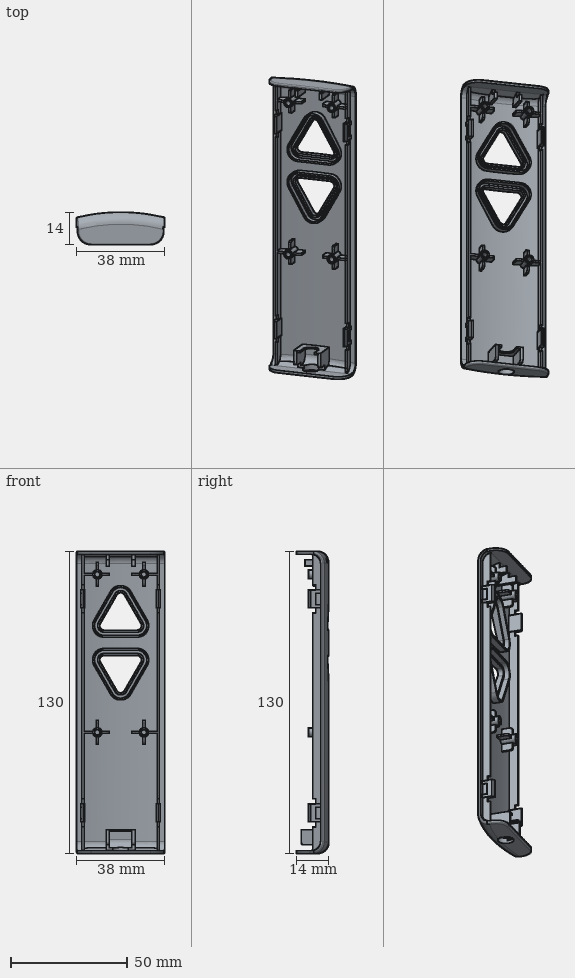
import cadquery as cq
import math

WIDTH = 38.0
DEPTH = 14.0
LENGTH = 130.0
CROWN_RADIUS = 80.3
END_RADIUS = 5.1
SIDE_ROUND = 0.8
FLOOR = 1.5
LIP_THICKNESS = 1.36
INNER_END_RADIUS = 3.9
SIDE_RIM_DEPTH = 3.6

LIP_WIDTH = 37.2
LIP_CORNER = 5.8
LIP_EDGE_ROUND = 0.5
FULL_WIDTH_DEPTH = 6.5

WALL_OUTER_X = 16.6
WALL_THICKNESS = 0.9
WALL_DEPTH = 7.0
LEDGE_HEIGHT = 1.2
LEDGE_CREST_DEPTH = 3.9
LEDGE_TOE_DEPTH = 7.5

CLIP_CENTRES_Z = (44.5, -47.4)
CLIP_INNER_X = 15.3
CLIP_OUTER_X = 17.0
CLIP_LENGTH = 7.8
CLIP_DEPTH = 8.8
CLIP_BEVEL = 0.9
NOTCH_LENGTH = 12.0
NOTCH_DEPTH = 5.7
WINDOW_LENGTH = 5.0

BOSS_X = 10.0
BOSS_LEVELS_Z = (55.0, -12.9)
BOSS_RADIUS = 2.0
BOSS_HOLE_RADIUS = 1.2
BOSS_DEPTH = 8.8
BOSS_HOLE_FLOOR_DEPTH = 2.6
RIB_REACH = 5.2
RIB_THICKNESS = 0.9
RIB_DEPTH = 7.0
RIB_TIP_ROUND = 1.2

TRIANGLE_MIRROR_Z = 25.6
TRIANGLE_BASE_Z = 32.94
TRIANGLE_HALF_BASE = 7.08
WINDOW_CORNER = 1.88
COLLAR_CORNER = 2.8
RIM_INNER_CORNER = 4.2
RIM_OUTER_CORNER = 5.0
GROOVE_DEPTH = 1.8
COLLAR_DEPTH = 3.1
RIM_DEPTH = 5.0

BOX_WIDTH = 12.3
BOX_WALL = 1.3
BOX_TOP_Z = -54.6
BOX_BOTTOM_Z = -61.2
BOX_PLATE = 0.8
BOX_DEPTH = 12.0
BOX_FLOOR_DEPTH = 1.8
BOX_FLOOR_ROUND = 3.6
BOX_CORNER = 1.0
CABLE_RADIUS = 3.4
CABLE_DEPTH = 7.7
TAB_TOP_Z = 61.3
TAB_BOTTOM_Z = 58.5
TAB_DEPTH = 10.4

SIDES = (-1, 1)


def block(x_range, depth_range, z_range):
    """Box between pairs of x, depth and z."""
    (x0, x1), (d0, d1), (z0, z1) = x_range, depth_range, z_range
    return cq.Workplane("XY").box(x1 - x0, d1 - d0, z1 - z0, centered=False).translate((x0, -d1, z0))


def depth_cylinder(x, z, radius, depth_range):
    """Cylinder along Y between two depths."""
    start, end = depth_range
    return cq.Workplane("XZ", origin=(x, -start, z)).circle(radius).extrude(end - start)


def crowned_block(width, length, back_depth, crown_radius, end_radius):
    """Block with an arched back whose two ends are rounded into the back."""
    half = width / 2
    sag = crown_radius - math.sqrt(crown_radius**2 - half**2)
    return (
        cq.Workplane("XY", origin=(0, 0, -length / 2))
        .moveTo(-half, -DEPTH)
        .lineTo(half, -DEPTH)
        .lineTo(half, -back_depth - sag)
        .threePointArc((0, -back_depth), (-half, -back_depth - sag))
        .close()
        .extrude(length)
        .faces("<Z or >Z")
        .edges(">Y")
        .fillet(end_radius)
    )


def make_envelope():
    """Solid outer form: full width at the back, narrower with round corners at the lips."""
    body = crowned_block(WIDTH, LENGTH, 0, CROWN_RADIUS, END_RADIUS)
    back_zone = cq.selectors.BoxSelector((-WIDTH, -FULL_WIDTH_DEPTH, -LENGTH), (WIDTH, LENGTH, LENGTH))
    body = body.edges(back_zone).edges("|Z").fillet(SIDE_ROUND)
    lips = (
        block((-LIP_WIDTH / 2, LIP_WIDTH / 2), (0, DEPTH), (-LENGTH / 2, LENGTH / 2))
        .edges("|Z and <Y")
        .fillet(LIP_CORNER)
        .faces("<Y")
        .edges("|X")
        .fillet(LIP_EDGE_ROUND)
    )
    back = block((-WIDTH, WIDTH), (0, FULL_WIDTH_DEPTH), (-LENGTH, LENGTH))
    return body.intersect(lips.union(back))


def make_cavity():
    """Hollow between the end lips: arched floor in the middle, flat rim along each side."""
    length = LENGTH - 2 * LIP_THICKNESS
    middle = crowned_block(2 * WALL_OUTER_X, length, FLOOR, CROWN_RADIUS - FLOOR, INNER_END_RADIUS)
    rim = block((-WIDTH, WIDTH), (SIDE_RIM_DEPTH, DEPTH), (-length / 2, length / 2))
    return middle.union(rim.edges("|X and >Y").fillet(INNER_END_RADIUS))


def make_wall():
    """Two side walls with a notch round each clip."""
    inner_x = WALL_OUTER_X - WALL_THICKNESS
    lip_z = LENGTH / 2 - LIP_THICKNESS
    wall = block((-WALL_OUTER_X, WALL_OUTER_X), (0, WALL_DEPTH), (-lip_z, lip_z))
    wall = wall.cut(block((-inner_x, inner_x), (0, WALL_DEPTH), (-lip_z, lip_z)))
    for z in CLIP_CENTRES_Z:
        notch_z = (z - NOTCH_LENGTH / 2, z + NOTCH_LENGTH / 2)
        wall = wall.cut(block((-WIDTH, WIDTH), (NOTCH_DEPTH, WALL_DEPTH), notch_z))
    return wall


def make_ledge(end):
    """Filler in the corner of floor and lip: flat top, then a slope down to the lip."""
    lip_z = LENGTH / 2 - LIP_THICKNESS
    ledge_z = lip_z - LEDGE_HEIGHT
    return (
        cq.Workplane("YZ", origin=(-WALL_OUTER_X, 0, 0))
        .moveTo(0, end * ledge_z)
        .lineTo(-LEDGE_CREST_DEPTH, end * ledge_z)
        .lineTo(-LEDGE_TOE_DEPTH, end * lip_z)
        .lineTo(0, end * lip_z)
        .close()
        .extrude(2 * WALL_OUTER_X)
    )


def make_clip(side, z):
    """Snap clip with a bevelled outer tip and a shallow window in its outer face."""
    clip = block((CLIP_INNER_X, CLIP_OUTER_X), (0, CLIP_DEPTH), (z - CLIP_LENGTH / 2, z + CLIP_LENGTH / 2))
    clip = clip.edges(">X and <Y").chamfer(CLIP_BEVEL)
    window_z = (z - WINDOW_LENGTH / 2, z + WINDOW_LENGTH / 2)
    clip = clip.cut(block((WALL_OUTER_X, CLIP_OUTER_X), (0, NOTCH_DEPTH), window_z))
    return clip if side > 0 else clip.mirror("YZ")


def make_boss(side, z):
    """Screw boss with four ribs; the outward rib runs into the side wall."""
    half = RIB_THICKNESS / 2
    x = side * BOSS_X
    upright = block((x - half, x + half), (0, RIB_DEPTH), (z - RIB_REACH, z + RIB_REACH))
    upright = upright.faces("<Y").edges("|X").fillet(RIB_TIP_ROUND)
    crossing = block((BOSS_X - RIB_REACH, WALL_OUTER_X), (0, RIB_DEPTH), (z - half, z + half))
    crossing = crossing.edges("<X and <Y").fillet(RIB_TIP_ROUND)
    if side < 0:
        crossing = crossing.mirror("YZ")
    return depth_cylinder(x, z, BOSS_RADIUS, (0, BOSS_DEPTH)).union(upright).union(crossing)


def triangle(corner, depth_range, flipped):
    """Rounded triangular prism; a flipped one points down."""
    start, end = depth_range
    height = TRIANGLE_HALF_BASE * math.sqrt(3)
    base = TRIANGLE_BASE_Z - TRIANGLE_MIRROR_Z
    turn = -1 if flipped else 1
    corners = [(-TRIANGLE_HALF_BASE, base), (TRIANGLE_HALF_BASE, base), (0, base + height)]
    return (
        cq.Workplane("XZ", origin=(0, -start, TRIANGLE_MIRROR_Z))
        .polyline([(x, turn * z) for x, z in corners])
        .close()
        .offset2D(corner)
        .extrude(end - start)
    )


def make_box():
    """Cable box: two side walls under a plate with a slot open to the front."""
    half = BOX_WIDTH / 2
    inner = half - BOX_WALL
    box = block((-half, half), (0, BOX_DEPTH), (BOX_BOTTOM_Z, BOX_TOP_Z))
    box = box.edges("|X and <Y and <Z").fillet(BOX_CORNER)
    box = box.union(block((-half, half), (0, WALL_DEPTH), (-LENGTH / 2, BOX_TOP_Z)))
    ledge_z = -LENGTH / 2 + LIP_THICKNESS + LEDGE_HEIGHT
    room = (
        block((-inner, inner), (BOX_FLOOR_DEPTH, DEPTH), (ledge_z, BOX_TOP_Z - BOX_PLATE))
        .edges("|X and >Y and <Z")
        .fillet(BOX_FLOOR_ROUND)
    )
    return box.cut(room)


def make_cable_opening():
    """Round hole through the bottom lip and the slot above it in the box plate."""
    hole = cq.Workplane("XY", origin=(0, -CABLE_DEPTH, -LENGTH / 2)).circle(CABLE_RADIUS)
    hole = hole.extrude(LENGTH / 2 + BOX_TOP_Z)
    plate_z = (BOX_TOP_Z - BOX_PLATE, BOX_TOP_Z)
    slot = block((-CABLE_RADIUS, CABLE_RADIUS), (CABLE_DEPTH, DEPTH), plate_z)
    return hole.union(slot)


def make_tab(side):
    x_range = sorted((side * BOX_WIDTH / 2, side * (BOX_WIDTH / 2 - BOX_WALL)))
    upper = block(x_range, (0, WALL_DEPTH), (TAB_BOTTOM_Z, LENGTH / 2))
    return upper.union(block(x_range, (0, TAB_DEPTH), (TAB_BOTTOM_Z, TAB_TOP_Z)))


envelope = make_envelope()
cavity = make_cavity()

fittings = make_wall()
for end in SIDES:
    fittings = fittings.union(make_ledge(end))
fittings = fittings.union(make_box())
for side in SIDES:
    fittings = fittings.union(make_tab(side))
    for z in CLIP_CENTRES_Z:
        fittings = fittings.union(make_clip(side, z))
    for z in BOSS_LEVELS_Z:
        fittings = fittings.union(make_boss(side, z))
for flipped in (False, True):
    fittings = fittings.union(triangle(RIM_OUTER_CORNER, (0, RIM_DEPTH), flipped))

result = envelope.cut(cavity).union(fittings.intersect(envelope))

for flipped in (False, True):
    groove = triangle(RIM_INNER_CORNER, (GROOVE_DEPTH, RIM_DEPTH), flipped)
    collar = triangle(COLLAR_CORNER, (0, COLLAR_DEPTH), flipped)
    window = triangle(WINDOW_CORNER, (0, RIM_DEPTH), flipped)
    result = result.cut(groove.cut(collar)).cut(window)
for side in SIDES:
    for z in BOSS_LEVELS_Z:
        hole_depths = (BOSS_HOLE_FLOOR_DEPTH, BOSS_DEPTH)
        result = result.cut(depth_cylinder(side * BOSS_X, z, BOSS_HOLE_RADIUS, hole_depths))
result = result.cut(make_cable_opening())